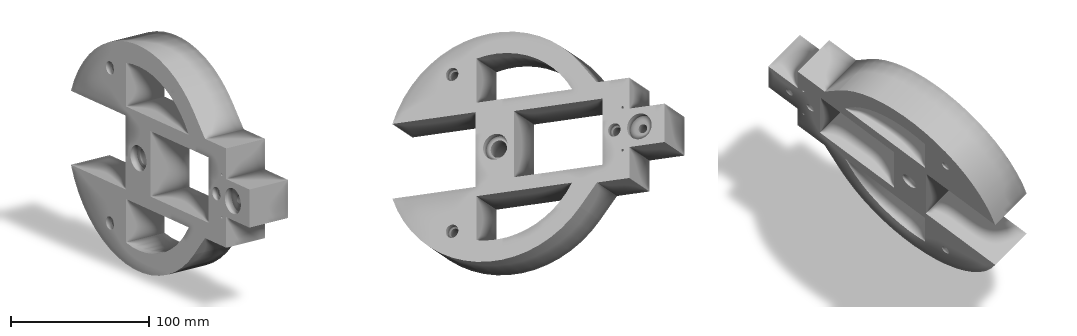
import cadquery as cq
import math

thickness = 35.0
disc_radius = 86.83
slot_width = 56.8
slot_end_x = -15.8
total_length = 216.8

block_start_x = 80.9
block_end_x = 106.7
block_width = 76.3
tab_width = 29.3

arc_window_radius = 70.7
arc_window_left_x = -15.2
arc_window_inner_z = 35.5
box_window_left_x = 14.7
box_window_right_x = 85.2
box_window_height = 50.3

screw_diameter = 7.0
screw_bore_diameter = 10.0
screw_bore_depth = 5.0
ear_screw_x = -34.5
ear_screw_z = 59.6
nose_screw_x = 94.7
pivot_diameter = 13.0
pivot_bore_diameter = 19.5
pivot_bore_depth = 6.0
tab_hole_x = 114.7
tab_hole_diameter = 6.7
pin_hole_diameter = 2.0
pin_hole_x = 101.3
pin_hole_z = 16.3

ear_tip_x = -math.sqrt(disc_radius**2 - (slot_width / 2) ** 2)
tab_end_x = ear_tip_x + total_length


def front_plane():
    """Workplane on the front face, with local axes along X and Z."""
    return cq.Workplane("XZ")


def outline():
    """Slotted disc running tangentially into the stepped nose."""
    block_z = block_width / 2
    tab_z = tab_width / 2
    slot_z = slot_width / 2
    corner_distance = math.hypot(block_start_x, block_z)
    tangent_angle = math.atan2(block_z, block_start_x) + math.acos(disc_radius / corner_distance)
    tangent_x = disc_radius * math.cos(tangent_angle)
    tangent_z = disc_radius * math.sin(tangent_angle)
    return (
        front_plane()
        .moveTo(slot_end_x, slot_z)
        .lineTo(ear_tip_x, slot_z)
        .threePointArc((0, disc_radius), (tangent_x, tangent_z))
        .lineTo(block_start_x, block_z)
        .lineTo(block_end_x, block_z)
        .lineTo(block_end_x, tab_z)
        .lineTo(tab_end_x, tab_z)
        .lineTo(tab_end_x, -tab_z)
        .lineTo(block_end_x, -tab_z)
        .lineTo(block_end_x, -block_z)
        .lineTo(block_start_x, -block_z)
        .lineTo(tangent_x, -tangent_z)
        .threePointArc((0, -disc_radius), (ear_tip_x, -slot_z))
        .lineTo(slot_end_x, -slot_z)
        .close()
    )


def arc_window(side):
    """Window bounded by an arc concentric with the disc; side is +1 (upper) or -1 (lower)."""
    left_z = math.sqrt(arc_window_radius**2 - arc_window_left_x**2)
    right_x = math.sqrt(arc_window_radius**2 - arc_window_inner_z**2)
    return (
        front_plane()
        .moveTo(arc_window_left_x, side * arc_window_inner_z)
        .lineTo(arc_window_left_x, side * left_z)
        .threePointArc((0, side * arc_window_radius), (right_x, side * arc_window_inner_z))
        .close()
        .extrude(-thickness)
    )


def box_window():
    """Rectangular window between the pivot and the nose."""
    length = box_window_right_x - box_window_left_x
    centre_x = (box_window_left_x + box_window_right_x) / 2
    return front_plane().center(centre_x, 0).rect(length, box_window_height).extrude(-thickness)


def hole(x, z, diameter, depth=thickness):
    """Round cutter going in from the front face."""
    return front_plane().center(x, z).circle(diameter / 2).extrude(-depth)


def counterbored_hole(x, z, diameter, bore_diameter, bore_depth):
    """Through hole with a counterbore in the front face."""
    return hole(x, z, diameter).union(hole(x, z, bore_diameter, bore_depth))


result = outline().extrude(-thickness).cut(box_window())

for side in (1, -1):
    result = result.cut(arc_window(side))
    result = result.cut(hole(pin_hole_x, side * pin_hole_z, pin_hole_diameter))

for x, z in ((ear_screw_x, ear_screw_z), (ear_screw_x, -ear_screw_z), (nose_screw_x, 0)):
    result = result.cut(counterbored_hole(x, z, screw_diameter, screw_bore_diameter, screw_bore_depth))

for x, diameter in ((0, pivot_diameter), (tab_hole_x, tab_hole_diameter)):
    result = result.cut(counterbored_hole(x, 0, diameter, pivot_bore_diameter, pivot_bore_depth))